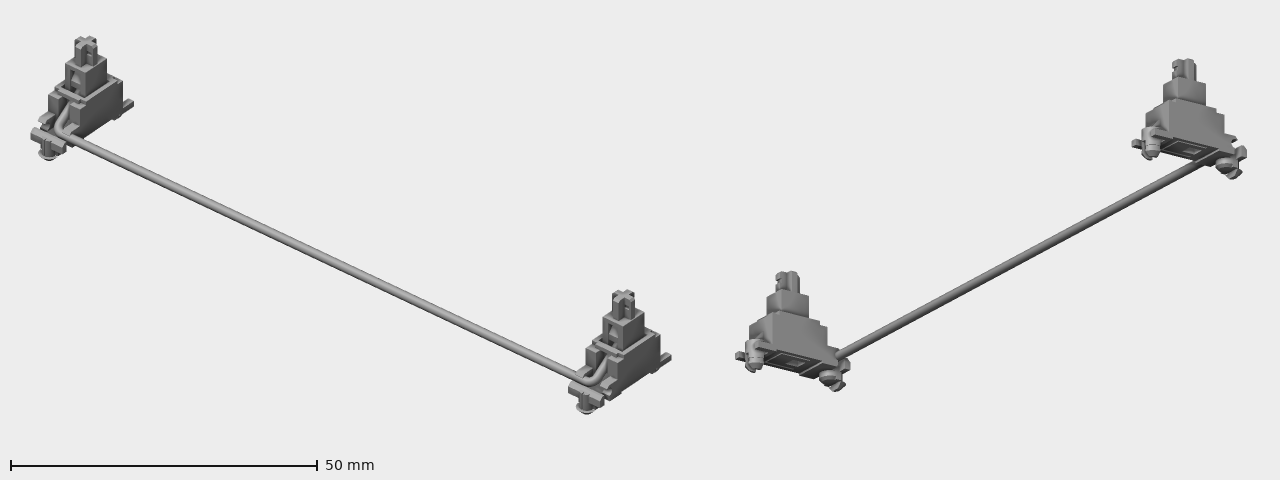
import cadquery as cq
import math


TOTAL_LENGTH = 121.1
HOUSING_WIDTH = 6.8
HOUSING_SPACING = TOTAL_LENGTH - HOUSING_WIDTH
HALF_WIDTH = HOUSING_WIDTH / 2

BODY_FRONT = -5.6
BODY_BACK = 5.3
SHOULDER_HEIGHT = 6.2
RIM_HEIGHT = 6.9
RIM_LENGTH = 8.0
RIM_NOSE_LENGTH = 9.1
RIM_NOSE_WIDTH = 4.5
POCKET_WIDTH = 5.1
POCKET_FRONT = -3.4
POCKET_BACK = 3.0
PAD_BOTTOM = -0.4

FRONT_GAP_WIDTH = 3.6
FLOOR_HEIGHT = 0.6
FOOT_HEIGHT = 2.9
FOOT_TOP_FRONT = -7.7
JAW_TIP = -8.2
FOOT_BOTTOM_FRONT = -7.5
CROSSBAR_BACK = -9.0
CROSSBAR_FRONT = -10.0
CROSSBAR_TOP = 1.6
CROSSBAR_CHAMFER = 0.6
ARM_SLOT_WIDTH = 2.4

BOSS_RADIUS = FRONT_GAP_WIDTH / 2
BOSS_BACK = -6.5
BOSS_BOTTOM = -1.8
BOSS_CHAMFER = 0.5
HOOK_CENTER = -9.3
HOOK_FRONT = -11.1
HOOK_RADIUS = HOOK_CENTER - HOOK_FRONT
HOOK_TIP_RADIUS = 0.8
HOOK_TOP = -1.9
HOOK_BOTTOM = -2.9
LEG_RADIUS = 1.2
LEG_TOP = 1.2
LEG_SLOT_WIDTH = 0.2

REAR_END = 8.1
LUG_GAP_WIDTH = 4.4
LUG_TOP = 0.7
PEG_RADIUS = 1.8
PEG_CENTER = REAR_END - PEG_RADIUS
PEG_BACK_FLAT = 5.9
PEG_TOP = 1.8
PEG_BOTTOM = -3.0
PEG_CHAMFER = 0.7
PEG_SLOT_WIDTH = 1.0
PEG_GROOVE_TOP = -1.3
PEG_GROOVE_HEIGHT = 0.6
PEG_GROOVE_DEPTH = 0.1
STRAPS_WIDTH = 1.8
STRAP_GAP_WIDTH = 0.7
STRAP_ROOT_TOP = 3.9
STRAP_ROOT_BOTTOM = 2.0
STRAP_PEG_BOTTOM = 1.1

STEM_WIDTH = 4.4
STEM_LENGTH = 5.5
STEM_HEIGHT = 11.4
CROSS_TOP = 15.3
CROSS_SPAN = 4.0
X_ARM_THICKNESS = 1.1
Y_ARM_THICKNESS = 1.2
CROSS_CHAMFER = 0.4
NOTCH_BOTTOM = 13.2
NOTCH_HEIGHT = 0.7
NOTCH_DEPTH = 0.4
DENT_END_WALL = 0.4
CHANNEL_WIDTH = 2.2
CHANNEL_TOP = 10.7
CHANNEL_DEPTH = 1.5
RAMP_TOP = 9.8
RAMP_BOTTOM = 8.4
RAMP_FRONT_DEPTH = 0.2
WIRE_POCKET_TOP = 7.3
WIRE_POCKET_DEPTH = 2.4

WIRE_DIAMETER = 1.6
WIRE_Y = -7.7
WIRE_Z = 1.6
WIRE_TILT = 35.0
WIRE_BEND_RADIUS = 1.5
WIRE_ARM_END = -1.2


def block(x_range, y_range, z_range):
    """Box between the given limits."""
    (x0, x1), (y0, y1), (z0, z1) = x_range, y_range, z_range
    return cq.Workplane("XY").box(x1 - x0, y1 - y0, z1 - z0, centered=False).translate((x0, y0, z0))


def centered_block(width, y_range, z_range):
    """Box centered on X = 0."""
    return block((-width / 2, width / 2), y_range, z_range)


def side_profile(points, width):
    """Outline of (y, z) points, extruded along X and centered on X = 0."""
    return cq.Workplane("YZ").polyline(points).close().extrude(width / 2, both=True)


def upright_cylinder(radius, y, z_range):
    """Vertical cylinder on X = 0."""
    z0, z1 = z_range
    return cq.Workplane("XY", origin=(0, y, z0)).circle(radius).extrude(z1 - z0)


def housing_body():
    body = centered_block(HOUSING_WIDTH, (BODY_FRONT, BODY_BACK), (0, SHOULDER_HEIGHT))
    for width, length in ((HOUSING_WIDTH, RIM_LENGTH), (RIM_NOSE_WIDTH, RIM_NOSE_LENGTH)):
        rim = centered_block(width, (-length / 2, length / 2), (SHOULDER_HEIGHT, RIM_HEIGHT))
        body = body.union(rim)
    front_pad = centered_block(HOUSING_WIDTH, (BODY_FRONT, -RIM_NOSE_LENGTH / 2), (PAD_BOTTOM, 0))
    rear_pad = centered_block(HOUSING_WIDTH, (RIM_NOSE_LENGTH / 2, BODY_BACK), (PAD_BOTTOM, 0))
    return body.union(front_pad).union(rear_pad)


def front_feet():
    """Two side feet whose upper jaws reach over the wire."""
    outline = [
        (BODY_FRONT, PAD_BOTTOM),
        (BODY_FRONT, FOOT_HEIGHT),
        (FOOT_TOP_FRONT, FOOT_HEIGHT),
        (JAW_TIP, WIRE_Z + WIRE_DIAMETER / 2),
        (WIRE_Y, WIRE_Z),
        (FOOT_BOTTOM_FRONT, PAD_BOTTOM),
    ]
    gap = centered_block(FRONT_GAP_WIDTH, (JAW_TIP, BODY_FRONT), (PAD_BOTTOM, FOOT_HEIGHT))
    return side_profile(outline, HOUSING_WIDTH).cut(gap)


def tongue_and_crossbar():
    """Floor under the wire, carrying a lip across the full width in front of it."""
    tongue = centered_block(FRONT_GAP_WIDTH, (CROSSBAR_BACK, BODY_FRONT), (PAD_BOTTOM, FLOOR_HEIGHT))
    outline = [
        (CROSSBAR_BACK, PAD_BOTTOM),
        (CROSSBAR_BACK, CROSSBAR_TOP),
        (CROSSBAR_FRONT + CROSSBAR_CHAMFER, CROSSBAR_TOP),
        (CROSSBAR_FRONT, CROSSBAR_TOP - CROSSBAR_CHAMFER),
        (CROSSBAR_FRONT, PAD_BOTTOM),
    ]
    return tongue.union(side_profile(outline, HOUSING_WIDTH))


def front_boss():
    """Locating boss under the tongue, round at the back."""
    center = BOSS_BACK - BOSS_RADIUS
    z_range = (BOSS_BOTTOM, PAD_BOTTOM)
    boss = upright_cylinder(BOSS_RADIUS, center, z_range).faces("<Z").chamfer(BOSS_CHAMFER)
    front_half = centered_block(FRONT_GAP_WIDTH, (HOOK_CENTER, center), z_range)
    behind_hook = centered_block(FRONT_GAP_WIDTH, (HOOK_CENTER, BOSS_BACK), z_range)
    return boss.union(front_half).intersect(behind_hook)


def snap_hook():
    """Split half-round leg with a tapered half-round catch at its foot."""
    leg = upright_cylinder(LEG_RADIUS, HOOK_CENTER, (HOOK_TOP, LEG_TOP))
    slot = centered_block(LEG_SLOT_WIDTH, (HOOK_FRONT, HOOK_CENTER), (HOOK_TOP, LEG_TOP))
    catch = (
        cq.Workplane("XY", origin=(0, HOOK_CENTER, HOOK_TOP))
        .circle(HOOK_RADIUS)
        .workplane(offset=HOOK_BOTTOM - HOOK_TOP)
        .circle(HOOK_TIP_RADIUS)
        .loft()
    )
    front_half = centered_block(HOUSING_WIDTH, (HOOK_FRONT, HOOK_CENTER), (HOOK_BOTTOM, LEG_TOP))
    return leg.cut(slot).union(catch).intersect(front_half)


def rear_lugs():
    lugs = centered_block(HOUSING_WIDTH, (BODY_BACK, REAR_END), (PAD_BOTTOM, LUG_TOP))
    gap = centered_block(LUG_GAP_WIDTH, (BODY_BACK, REAR_END), (PAD_BOTTOM, LUG_TOP))
    return lugs.cut(gap)


def rear_peg():
    """Split half-round peg with a shallow groove, hung from the body by two sloping straps."""
    z_range = (PEG_BOTTOM, PEG_TOP)
    peg = upright_cylinder(PEG_RADIUS, PEG_CENTER, z_range).faces("<Z").chamfer(PEG_CHAMFER)
    groove_range = (PEG_GROOVE_TOP - PEG_GROOVE_HEIGHT, PEG_GROOVE_TOP)
    groove_core = upright_cylinder(PEG_RADIUS - PEG_GROOVE_DEPTH, PEG_CENTER, groove_range)
    groove = upright_cylinder(PEG_RADIUS, PEG_CENTER, groove_range).cut(groove_core)
    slot = centered_block(PEG_SLOT_WIDTH, (PEG_BACK_FLAT, REAR_END), (PEG_BOTTOM, PAD_BOTTOM))
    behind_flat = centered_block(HOUSING_WIDTH, (PEG_BACK_FLAT, REAR_END), z_range)
    peg = peg.intersect(behind_flat).cut(groove).cut(slot)
    outline = [
        (BODY_BACK, STRAP_ROOT_TOP),
        (BODY_BACK, STRAP_ROOT_BOTTOM),
        (PEG_BACK_FLAT, STRAP_PEG_BOTTOM),
        (PEG_CENTER, STRAP_PEG_BOTTOM),
        (PEG_CENTER + PEG_RADIUS / 2, PEG_TOP),
    ]
    gap = side_profile(outline, STRAP_GAP_WIDTH)
    straps = side_profile(outline, STRAPS_WIDTH).cut(gap)
    return peg.union(straps)


def build_housing():
    housing = housing_body()
    for part in (front_feet(), tongue_and_crossbar(), front_boss(), snap_hook(), rear_lugs(), rear_peg()):
        housing = housing.union(part)

    stem_pocket = centered_block(POCKET_WIDTH, (-STEM_LENGTH / 2, POCKET_BACK), (0, RIM_HEIGHT))
    arm_room = centered_block(POCKET_WIDTH, (POCKET_FRONT, -STEM_LENGTH / 2), (FLOOR_HEIGHT, RIM_HEIGHT))
    arm_slot = centered_block(ARM_SLOT_WIDTH, (BODY_FRONT, POCKET_FRONT), (FLOOR_HEIGHT, SHOULDER_HEIGHT))
    wire_seat = (
        cq.Workplane("YZ", origin=(0, WIRE_Y, WIRE_Z))
        .circle(WIRE_DIAMETER / 2)
        .extrude(HALF_WIDTH, both=True)
    )
    return housing.cut(stem_pocket).cut(arm_room).cut(arm_slot).cut(wire_seat)


def key_cross():
    """Cross that plugs into the keycap: notched at the rear end, dented on the front of both X arms."""
    height = CROSS_TOP - STEM_HEIGHT
    base = cq.Workplane("XY", origin=(0, 0, STEM_HEIGHT))
    x_arms = base.rect(CROSS_SPAN, X_ARM_THICKNESS).extrude(height)
    x_arms = x_arms.faces(">Z").edges("|Y").chamfer(CROSS_CHAMFER)
    y_arms = base.rect(Y_ARM_THICKNESS, CROSS_SPAN).extrude(height)
    y_arms = y_arms.faces(">Z").edges("|X").chamfer(CROSS_CHAMFER)
    cross = x_arms.union(y_arms)
    notch_range = (NOTCH_BOTTOM, NOTCH_BOTTOM + NOTCH_HEIGHT)
    rear_end = CROSS_SPAN / 2
    rear_notch = centered_block(Y_ARM_THICKNESS, (rear_end - NOTCH_DEPTH, rear_end), notch_range)
    cross = cross.cut(rear_notch)
    arm_front = -X_ARM_THICKNESS / 2
    dent_start = Y_ARM_THICKNESS / 2
    dent_end = CROSS_SPAN / 2 - DENT_END_WALL
    for x_range in ((-dent_end, -dent_start), (dent_start, dent_end)):
        cross = cross.cut(block(x_range, (arm_front, arm_front + NOTCH_DEPTH), notch_range))
    return cross


def build_stem():
    front = -STEM_LENGTH / 2
    column = centered_block(STEM_WIDTH, (front, STEM_LENGTH / 2), (0, STEM_HEIGHT))
    channel = [
        (front, CHANNEL_TOP),
        (front + CHANNEL_DEPTH, CHANNEL_TOP),
        (front + CHANNEL_DEPTH, RAMP_TOP),
        (front + RAMP_FRONT_DEPTH, RAMP_BOTTOM),
        (front + RAMP_FRONT_DEPTH, WIRE_POCKET_TOP),
        (front + WIRE_POCKET_DEPTH, WIRE_POCKET_TOP),
        (front + WIRE_POCKET_DEPTH, 0),
        (front, 0),
    ]
    return column.cut(side_profile(channel, CHANNEL_WIDTH)).union(key_cross())


def build_wire():
    """U-shaped wire lying in a plane that tilts up toward the stems."""
    plane = cq.Plane(
        origin=(0, WIRE_Y, WIRE_Z),
        xDir=(1, 0, 0),
        normal=(0, -math.sin(math.radians(WIRE_TILT)), math.cos(math.radians(WIRE_TILT))),
    )
    half_span = HOUSING_SPACING / 2
    straight_end = half_span - WIRE_BEND_RADIUS
    arm_length = (WIRE_ARM_END - WIRE_Y) / math.cos(math.radians(WIRE_TILT))
    path = (
        cq.Workplane(plane)
        .moveTo(-half_span, arm_length)
        .lineTo(-half_span, WIRE_BEND_RADIUS)
        .radiusArc((-straight_end, 0), -WIRE_BEND_RADIUS)
        .lineTo(straight_end, 0)
        .radiusArc((half_span, WIRE_BEND_RADIUS), -WIRE_BEND_RADIUS)
        .lineTo(half_span, arm_length)
    )
    start = plane.toWorldCoords((-half_span, arm_length))
    profile = cq.Workplane(cq.Plane(origin=start, xDir=(1, 0, 0), normal=-plane.yDir))
    return profile.circle(WIRE_DIAMETER / 2).sweep(path)


housing = build_housing()
stem = build_stem()
wire = build_wire()

housings = []
stems = []
for side in (-1, 1):
    place = (side * HOUSING_SPACING / 2, 0, 0)
    housings.append(housing.translate(place).val())
    stems.append(stem.translate(place).val())

result = cq.Compound.makeCompound([*housings, *stems, wire.val()])